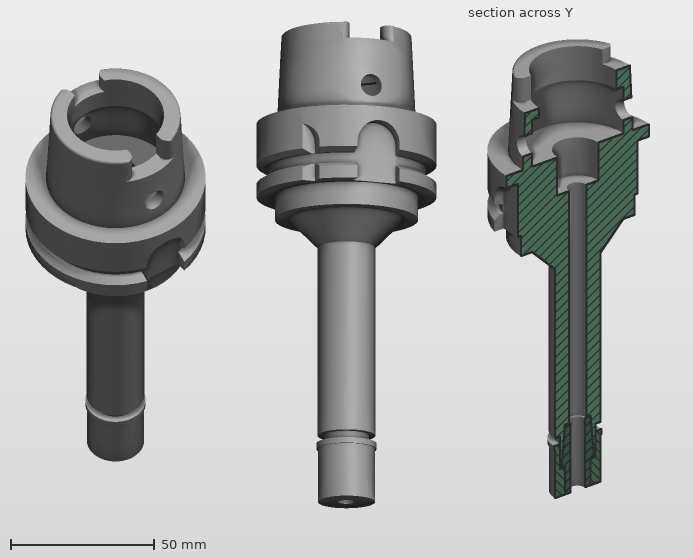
import cadquery as cq
import math


taper_length = 31.9
taper_base_diameter = 48.6
taper_rate = 0.1
taper_tip_diameter = taper_base_diameter - taper_rate * taper_length
tip_rounding = 1.0
bore_diameter = 33.9
bore_lip_depth = 13.5
recess_diameter = 40.0
tube_seat_diameter = 17.9
tube_seat_depth = 15.0
cross_hole_diameter = 7.8
cross_hole_height = 9.2

drive_slot_width = 12.5
shallow_slot_depth = 5.8
deep_slot_depth = 9.7
slot_flat_distance = 20.9
slot_corner_radius = 3.0

flange_diameter = 63.0
flange_thickness = 26.0
groove_floor_diameter = 55.5
groove_chamfer_diameter = 58.0
groove_top = 14.7
groove_floor_top = 16.2
groove_floor_bottom = 20.0
groove_bottom = 21.5

pocket_width = 15.9
pocket_top = 5.0
key_pocket_floor = 26.4
notch_floor = 19.9
notch_center = 27.7

collar_diameter = 50.1
collar_length = 8.0
cone_top_diameter = 40.0
cone_length = 10.0
nose_diameter = 20.2
nose_length = 67.3
coolant_hole_diameter = 7.5

stub_diameter = 15.9
stub_gap = 2.8
stub_engagement = 10.0
stub_length = stub_gap + stub_engagement

nut_diameter = 20.0
nut_rim_diameter = 21.0
nut_rim_thickness = 2.0
collet_back_diameter = 11.0
collet_front_diameter = 14.0
collet_cone_length = 16.7
collet_bore_diameter = 6.0

overall_length = 167.0
flange_bottom = -flange_thickness
collar_bottom = flange_bottom - collar_length
cone_bottom = collar_bottom - cone_length
nose_bottom = cone_bottom - nose_length
stub_bottom = nose_bottom - stub_length
nut_top = nose_bottom - stub_gap
nut_bottom = taper_length - overall_length
collet_top = stub_bottom + collet_cone_length


def cylinder(diameter, bottom, top):
    return cq.Workplane("XY").workplane(offset=bottom).circle(diameter / 2).extrude(top - bottom)


def turned(profile):
    """Revolve (diameter, height) points, closed along the axis, about Z."""
    points = [(diameter / 2, height) for diameter, height in profile]
    points = [(0, profile[0][1])] + points + [(0, profile[-1][1])]
    return cq.Workplane("XZ").polyline(points).close().revolve(360, (0, 0, 0), (0, 1, 0))


def taper_shank():
    shank = turned([(taper_base_diameter, 0), (taper_tip_diameter, taper_length)])
    shank = shank.faces(">Z").edges().fillet(tip_rounding)
    for side, depth in ((-1, shallow_slot_depth), (1, deep_slot_depth)):
        shank = shank.cut(drive_slot(side, depth))
    return shank


def drive_slot(side, depth):
    """Cutter for a slot on one X side: it also trims the taper flat beside the slot's rounded mouth."""
    half_width = drive_slot_width / 2
    flat_x = side * slot_flat_distance
    outer_x = side * taper_base_diameter / 2
    wall_end_x = side * (slot_flat_distance - slot_corner_radius)
    corner_y = half_width + slot_corner_radius
    arc_inset = slot_corner_radius * (1 - math.sqrt(0.5))
    middle_x = side * (slot_flat_distance - arc_inset)
    middle_y = half_width + arc_inset
    edge_y = taper_base_diameter / 2
    return (
        cq.Workplane("XY")
        .workplane(offset=taper_length - depth)
        .moveTo(0, -half_width)
        .lineTo(wall_end_x, -half_width)
        .threePointArc((middle_x, -middle_y), (flat_x, -corner_y))
        .lineTo(flat_x, -edge_y)
        .lineTo(outer_x, -edge_y)
        .lineTo(outer_x, edge_y)
        .lineTo(flat_x, edge_y)
        .lineTo(flat_x, corner_y)
        .threePointArc((middle_x, middle_y), (wall_end_x, half_width))
        .lineTo(0, half_width)
        .close()
        .extrude(depth)
    )


def flange_pocket(side, floor, center_y):
    """Cutter for a round-topped pocket with a flat floor facing along X, open at the bottom."""
    radius = pocket_width / 2
    arc_center = -pocket_top - radius
    return (
        cq.Workplane("YZ")
        .workplane(offset=side * floor)
        .moveTo(center_y - radius, flange_bottom)
        .lineTo(center_y - radius, arc_center)
        .threePointArc((center_y, -pocket_top), (center_y + radius, arc_center))
        .lineTo(center_y + radius, flange_bottom)
        .close()
        .extrude(side * flange_diameter / 2)
    )


def flange():
    body = turned([
        (flange_diameter, 0),
        (flange_diameter, -groove_top),
        (groove_chamfer_diameter, -groove_floor_top),
        (groove_floor_diameter, -groove_floor_top),
        (groove_floor_diameter, -groove_floor_bottom),
        (groove_chamfer_diameter, -groove_floor_bottom),
        (flange_diameter, -groove_bottom),
        (flange_diameter, flange_bottom),
    ])
    for side in (-1, 1):
        body = body.cut(flange_pocket(side, key_pocket_floor, 0))
    return body.cut(flange_pocket(-1, notch_floor, notch_center))


def nose():
    return turned([
        (collar_diameter, flange_bottom),
        (collar_diameter, collar_bottom),
        (cone_top_diameter, collar_bottom),
        (nose_diameter, cone_bottom),
        (nose_diameter, nose_bottom),
        (stub_diameter, nose_bottom),
        (stub_diameter, stub_bottom),
    ])


def collet_cone():
    return turned([(collet_back_diameter, collet_top), (collet_front_diameter, stub_bottom)])


def make_holder():
    body = flange().union(taper_shank()).union(nose())
    body = body.cut(cylinder(bore_diameter, 0, taper_length))
    body = body.cut(cylinder(recess_diameter, 0, taper_length - bore_lip_depth))
    body = body.cut(cylinder(tube_seat_diameter, -tube_seat_depth, 0))
    body = body.cut(cylinder(coolant_hole_diameter, stub_bottom, 0))
    cross_hole = (
        cq.Workplane("YZ")
        .center(0, cross_hole_height)
        .circle(cross_hole_diameter / 2)
        .extrude(taper_base_diameter / 2, both=True)
    )
    return body.cut(cross_hole).cut(collet_cone())


def make_nut():
    body = cylinder(nut_diameter, nut_bottom, nut_top)
    body = body.union(cylinder(nut_rim_diameter, nut_top - nut_rim_thickness, nut_top))
    body = body.cut(cylinder(stub_diameter, stub_bottom, nut_top))
    return body.cut(cylinder(collet_back_diameter, nut_bottom, stub_bottom))


def make_collet():
    body = collet_cone().union(cylinder(collet_back_diameter, nut_bottom, stub_bottom))
    return body.cut(cylinder(collet_bore_diameter, nut_bottom, collet_top))


holder = make_holder()
nut = make_nut()
collet = make_collet()

result = cq.Compound.makeCompound([holder.val(), nut.val(), collet.val()])